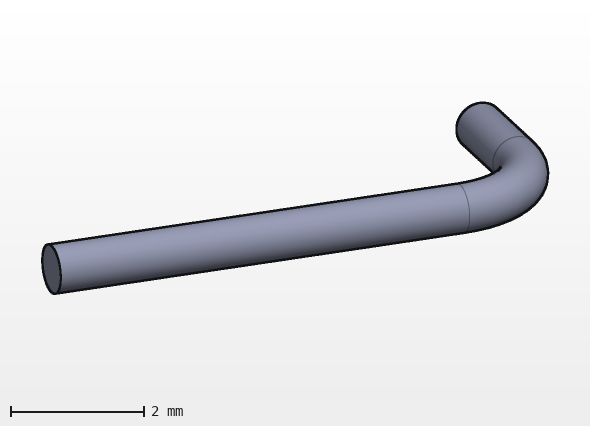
import cadquery as cq
import math

rod_diameter = 0.75
bend_radius = 1.5
long_leg = 6.6
overall_x = 3.35

rod_radius = rod_diameter / 2
short_leg = overall_x - bend_radius - rod_radius

leg_start = (0, 0)
bend_start = (0, long_leg)
bend_diagonal = bend_radius * math.sqrt(0.5)
bend_middle = (bend_diagonal - bend_radius, long_leg + bend_diagonal)
bend_end = (-bend_radius, long_leg + bend_radius)
leg_end = (-bend_radius - short_leg, long_leg + bend_radius)


def rod_centreline():
    """L-shaped path in the XY plane with a rounded corner."""
    return (
        cq.Workplane("XY")
        .moveTo(*leg_start)
        .lineTo(*bend_start)
        .threePointArc(bend_middle, bend_end)
        .lineTo(*leg_end)
    )


def bent_rod():
    """Round section swept along the centreline."""
    return cq.Workplane("XZ").circle(rod_radius).sweep(rod_centreline())


result = bent_rod()